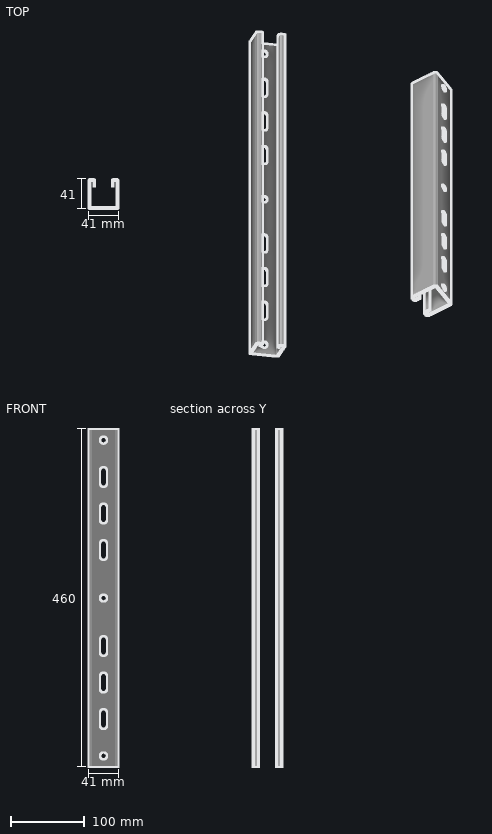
import cadquery as cq

length = 460.0
width = 41.0
depth = 41.0
thickness = 2.5
bend_radius = 3.0
mouth_width = 22.5
lip_depth = 10.0

hole_diameter = 9.0
end_hole_offset = 215.0
slot_length = 26.5
slot_pitch = 49.5
first_slot_offset = 65.5
slots_per_half = 3

inner_radius = bend_radius - thickness
lip_width = (width - mouth_width) / 2


def bar(size_x, size_y, center_x, center_y):
    """Full-length rectangular bar."""
    return cq.Workplane("XY").box(size_x, size_y, length).translate((center_x, center_y, 0))


def make_channel():
    """Bent sheet section: back, two sides and two inward-folded lips."""
    outside = bar(width, depth, 0, 0).edges("|Z").fillet(bend_radius)
    cavity = bar(width - 2 * thickness, depth - 2 * thickness, 0, 0).edges("|Z").fillet(inner_radius)
    mouth = bar(mouth_width + lip_width, depth, 0, thickness)
    channel = outside.cut(cavity).cut(mouth)
    for side in (-1, 1):
        channel = channel.union(make_lip(side))
    return channel


def make_lip(side):
    """Return lip with a bend at the mouth, on the given side of X."""
    lip = bar(lip_width, lip_depth, side * (width - lip_width) / 2, (depth - lip_depth) / 2)
    lip = lip.edges("|Z and >Y").fillet(bend_radius)
    hollow_width = lip_width - 2 * thickness
    hollow = bar(hollow_width, lip_depth, side * (width - lip_width) / 2, (depth - lip_depth) / 2 - thickness)
    return lip.cut(hollow.edges("|Z and >Y").fillet(inner_radius))


def cut_back_openings(channel):
    """Round holes and lengthwise slots through the back of the channel."""
    back = cq.Workplane("XZ", origin=(0, -depth / 2, 0))
    hole_centers = [(0, z) for z in (-end_hole_offset, 0, end_hole_offset)]
    slot_offsets = [first_slot_offset + i * slot_pitch for i in range(slots_per_half)]
    slot_centers = [(0, side * z) for side in (-1, 1) for z in slot_offsets]
    cut_depth = 2 * thickness
    holes = back.pushPoints(hole_centers).circle(hole_diameter / 2).extrude(-cut_depth)
    slots = back.pushPoints(slot_centers).slot2D(slot_length, hole_diameter, 90).extrude(-cut_depth)
    return channel.cut(holes).cut(slots)


result = cut_back_openings(make_channel())